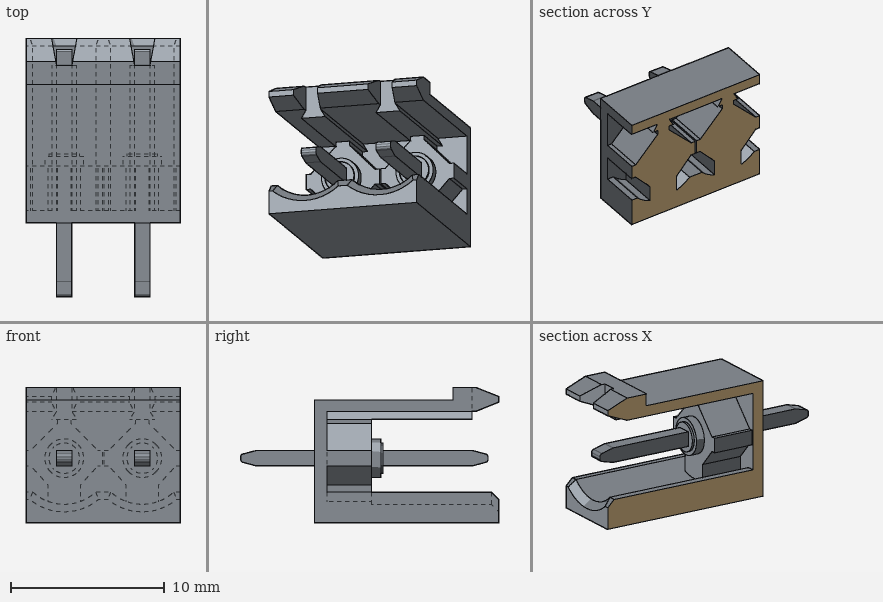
import cadquery as cq

width = 10.05
depth = 12.0
height = 8.0
wall = 0.8
floor_top = 2.0
ceiling = 7.24

head_top = 8.8
head_start = 9.0
head_slope_start = 10.5
nose_bottom = 7.85
nose_top = 8.22

pitch = 5.07
pin_size = 1.0
pin_z = 4.2
pin_back = 4.8
pin_front = 11.29
taper_length = 1.0
tip_half = 0.24
tip_round = 0.2

channel_radius = 3.0
edge_chamfer = 0.49

block_front = 3.71
block_half = (width - pitch) / 2
ledge = 0.3
neck_half = 0.45
neck_start = 6.45
foot_half = 1.05
foot_top = 2.47
collar_radius = 1.26
collar_length = 0.6
boss_radius = 0.99
boss_length = 0.15

rib_bottom = 6.72
rib_end = 10.25
rib_root_half = 0.5
rib_face_half = 0.8
notch_end_half = rib_root_half
notch_mouth_half = 0.82

pin_xs = [-pitch / 2, pitch / 2]


def mirrored(right_side):
    """Complete an outline from the points of its right half, given from top to bottom."""
    return right_side + [(-u, v) for u, v in reversed(right_side)]


def prism_along_y(x, right_side, start, end):
    """Prism along +Y whose section is symmetric about the given X."""
    section = [(x + u, z) for u, z in mirrored(right_side)]
    plane = cq.Workplane("XZ", origin=(0, start, 0))
    return plane.polyline(section).close().extrude(start - end)


def rod_along_y(x, radius, start, end):
    plane = cq.Workplane("XZ", origin=(x, start, pin_z))
    return plane.circle(radius).extrude(start - end)


def make_housing():
    outline = [
        (0, 0),
        (depth, 0),
        (depth, floor_top - edge_chamfer),
        (depth - edge_chamfer, floor_top),
        (wall, floor_top),
        (wall, ceiling),
        (head_slope_start, ceiling),
        (depth, nose_bottom),
        (depth, nose_top),
        (head_slope_start, head_top),
        (head_start, head_top),
        (head_start, height),
        (0, height),
    ]
    return cq.Workplane("YZ").polyline(outline).close().extrude(width / 2, both=True)


def make_channel(x):
    """Round channel whose mouth flares outward at 45 degrees."""
    profile = [
        (0, wall),
        (channel_radius, wall),
        (channel_radius, depth - edge_chamfer),
        (channel_radius + edge_chamfer, depth),
        (0, depth),
    ]
    turned = cq.Workplane("XY").polyline(profile).close().revolve(360, (0, 0), (0, 1))
    return turned.translate((x, 0, pin_z))


def make_notch(x):
    outline = [
        (x - notch_end_half, rib_end),
        (x + notch_end_half, rib_end),
        (x + notch_mouth_half, depth),
        (x - notch_mouth_half, depth),
    ]
    plane = cq.Workplane("XY", origin=(0, 0, ceiling))
    return plane.polyline(outline).close().extrude(head_top - ceiling)


def make_rib(x):
    right_side = [(rib_root_half, ceiling), (rib_face_half, rib_bottom)]
    return prism_along_y(x, right_side, wall, rib_end)


def make_block(x):
    """Block sloping in from a ledge level with the pin to a narrow neck and a foot."""
    pin_top = pin_z + pin_size / 2
    pin_bottom = pin_z - pin_size / 2
    slope_half = block_half - ledge
    right_side = [
        (neck_half, ceiling),
        (neck_half, neck_start),
        (slope_half, pin_top),
        (block_half, pin_top),
        (block_half, pin_bottom),
        (slope_half, pin_bottom),
        (foot_half, foot_top),
        (foot_half, 0),
    ]
    return prism_along_y(x, right_side, 0, block_front)


def make_collar(x):
    collar_front = block_front + collar_length
    collar = rod_along_y(x, collar_radius, block_front, collar_front)
    return collar.union(rod_along_y(x, boss_radius, collar_front, collar_front + boss_length))


def make_pin(x):
    """Square pin, both ends tapered in Z with rounded tips."""
    half = pin_size / 2
    outline = [
        (-pin_back, -tip_half),
        (taper_length - pin_back, -half),
        (pin_front - taper_length, -half),
        (pin_front, -tip_half),
        (pin_front, tip_half),
        (pin_front - taper_length, half),
        (taper_length - pin_back, half),
        (-pin_back, tip_half),
    ]
    bar = cq.Workplane("YZ").polyline(outline).close().extrude(half, both=True)
    bar = bar.faces("<Y or >Y").edges("|X").fillet(tip_round)
    return bar.translate((x, 0, pin_z))


result = make_housing()
for x in pin_xs:
    result = result.cut(make_channel(x)).cut(make_notch(x))
for x in pin_xs:
    for feature in (make_block, make_rib, make_collar, make_pin):
        result = result.union(feature(x))